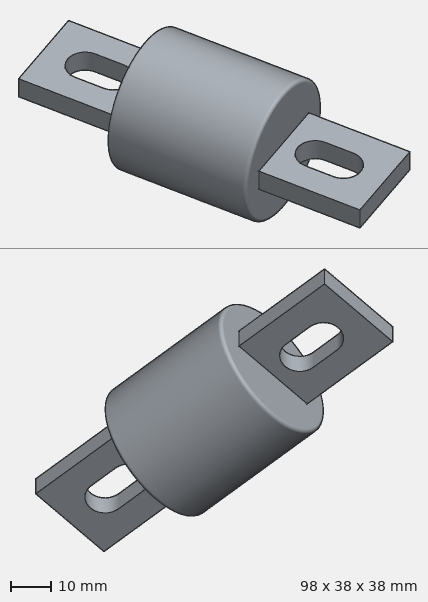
import cadquery as cq

blade_length = 98.0
blade_width = 25.0
blade_thickness = 6.1
slot_length = 18.0
slot_width = 10.0
slot_offset = 33.0

barrel_length = 40.0
barrel_diameter = 38.0
barrel_edge_radius = 1.0


def make_blade():
    """Flat bar with one rounded slot through each exposed end."""
    bar = cq.Workplane("XY").box(blade_length, blade_width, blade_thickness)
    slots = (
        cq.Workplane("XY")
        .pushPoints([(-slot_offset, 0), (slot_offset, 0)])
        .slot2D(slot_length, slot_width)
        .extrude(blade_thickness, both=True)
    )
    return bar.cut(slots)


def make_barrel():
    """Cylinder along X with rounded rims and a passage that fits the blade."""
    cylinder = (
        cq.Workplane("YZ", origin=(-barrel_length / 2, 0, 0))
        .circle(barrel_diameter / 2)
        .extrude(barrel_length)
        .faces("<X or >X")
        .edges()
        .fillet(barrel_edge_radius)
    )
    passage = cq.Workplane("XY").box(blade_length, blade_width, blade_thickness)
    return cylinder.cut(passage)


blade = make_blade()
barrel = make_barrel()

result = cq.Compound.makeCompound([barrel.val(), blade.val()])